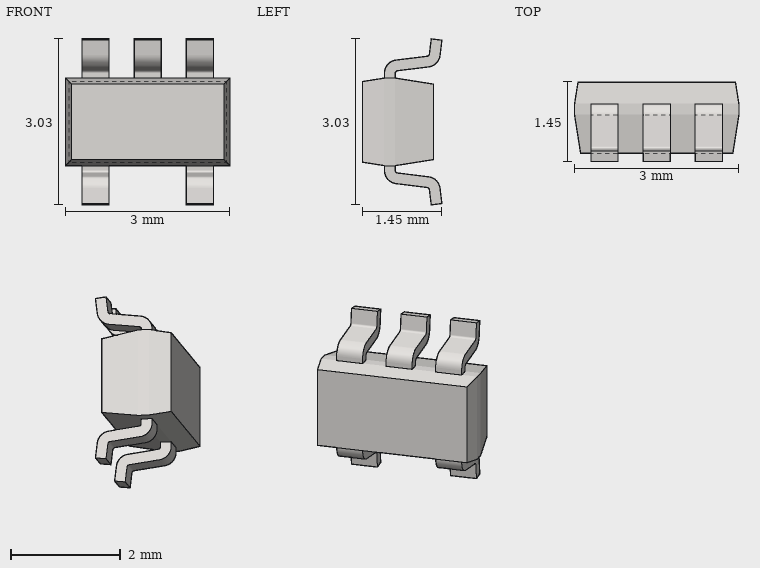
import cadquery as cq
import math

body_length = 3.0
body_height = 1.6
band_thickness = 0.2
front_depth = 0.7
back_depth = 0.4
draft_angle = 9.0

overall_height = 3.03
foot_reach = 0.95
lead_width = 0.5
lead_thickness = band_thickness
lead_pitch = 0.95
stub_length = 0.085
bend_radius = 0.145
lead_tilt = 7.0


def make_body():
    front_face = band_thickness / 2
    outline = cq.Workplane("XZ", origin=(0, -front_face, 0)).rect(body_length, body_height)
    front_half = outline.extrude(front_depth, taper=draft_angle)
    band = cq.Workplane("XY").box(body_length, band_thickness, body_height)
    back_half = (
        cq.Workplane("XZ", origin=(0, front_face, 0))
        .rect(body_length, body_height)
        .extrude(-back_depth, taper=draft_angle)
    )
    return band.union(front_half).union(back_half)


def make_upper_lead(x):
    """One lead rising from the +Z side of the body, centred at x."""
    tilt = math.radians(lead_tilt)
    slope = math.tan(tilt)
    half_thickness = lead_thickness / 2
    run_direction = cq.Vector(0, -math.cos(tilt), math.sin(tilt))
    foot_direction = cq.Vector(0, -math.sin(tilt), math.cos(tilt))
    up = cq.Vector(0, 0, 1)

    stub_bend_turn = math.pi / 2 - tilt
    foot_bend_turn = math.pi / 2 - 2 * tilt
    stub_setback = bend_radius * math.tan(stub_bend_turn / 2)
    foot_setback = bend_radius * math.tan(foot_bend_turn / 2)

    root = cq.Vector(x, 0, body_height / 2)
    tip_y = -foot_reach + half_thickness * math.cos(tilt)
    tip_z = overall_height / 2 - half_thickness * math.sin(tilt)
    tip = cq.Vector(x, tip_y, tip_z)
    stub_corner = root + up * (stub_length + stub_setback)
    corner_y = (tip.y + (tip.z - stub_corner.z) * slope) / (1 - slope**2)
    foot_corner = cq.Vector(x, corner_y, stub_corner.z - corner_y * slope)

    stub_end = stub_corner - up * stub_setback
    run_start = stub_corner + run_direction * stub_setback
    run_end = foot_corner - run_direction * foot_setback
    foot_start = foot_corner + foot_direction * foot_setback
    edges = [
        cq.Edge.makeLine(root, stub_end),
        cq.Edge.makeTangentArc(stub_end, up, run_start),
        cq.Edge.makeLine(run_start, run_end),
        cq.Edge.makeTangentArc(run_end, run_direction, foot_start),
        cq.Edge.makeLine(foot_start, tip),
    ]
    centre_line = cq.Workplane(obj=cq.Wire.assembleEdges(edges))
    section = cq.Workplane("XY", origin=root.toTuple()).rect(lead_width, lead_thickness)
    return section.sweep(centre_line)


result = make_body()
for x in (-lead_pitch, 0, lead_pitch):
    result = result.union(make_upper_lead(x))
for x in (-lead_pitch, lead_pitch):
    result = result.union(make_upper_lead(x).mirror("XY"))